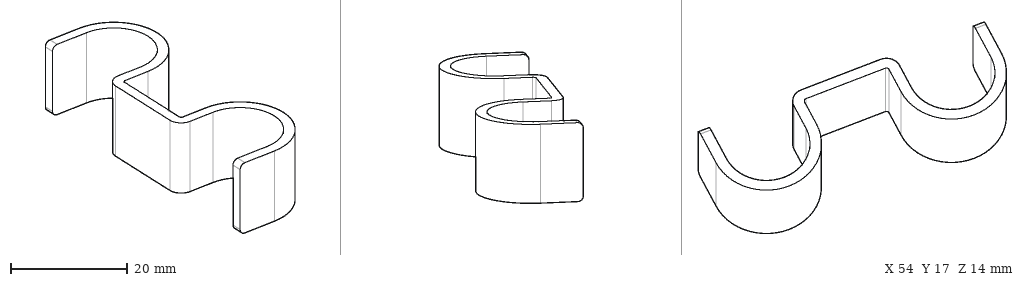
import cadquery as cq

length = 54.0
depth = 17.0
height = 14.0
thickness = 2.0
loop_radius = 9.5
bend_radius = 0.5
corner_radius = 1.0

loop_bore = loop_radius - thickness
loop_x = length / 2 - loop_radius
loop_y = depth - loop_radius
inner_leg_x = loop_x - loop_radius
bend_outer_radius = bend_radius + thickness
bend_x = inner_leg_x - bend_radius
bend_y = bend_outer_radius


def half_clip():
    """The +X half: half the web, a bend, the inner leg, the loop and the free leg."""
    return (
        cq.Workplane("XY")
        .moveTo(0, 0)
        .lineTo(bend_x, 0)
        .radiusArc((bend_x + bend_outer_radius, bend_y), -bend_outer_radius)
        .lineTo(loop_x - loop_bore, loop_y)
        .threePointArc((loop_x, loop_y + loop_bore), (loop_x + loop_bore, loop_y))
        .lineTo(loop_x + loop_bore, 0)
        .lineTo(loop_x + loop_radius, 0)
        .lineTo(loop_x + loop_radius, loop_y)
        .threePointArc((loop_x, loop_y + loop_radius), (inner_leg_x, loop_y))
        .lineTo(inner_leg_x, bend_y)
        .radiusArc((bend_x, thickness), bend_radius)
        .lineTo(0, thickness)
        .close()
        .extrude(height)
    )


def round_leg_end(half):
    """Round the top and bottom corners at the tip of the free leg."""
    tip = half.faces("<Y").faces(">X")
    return tip.edges("|X").fillet(corner_radius)


right_half = round_leg_end(half_clip())
result = right_half.union(right_half.mirror("YZ")).clean()